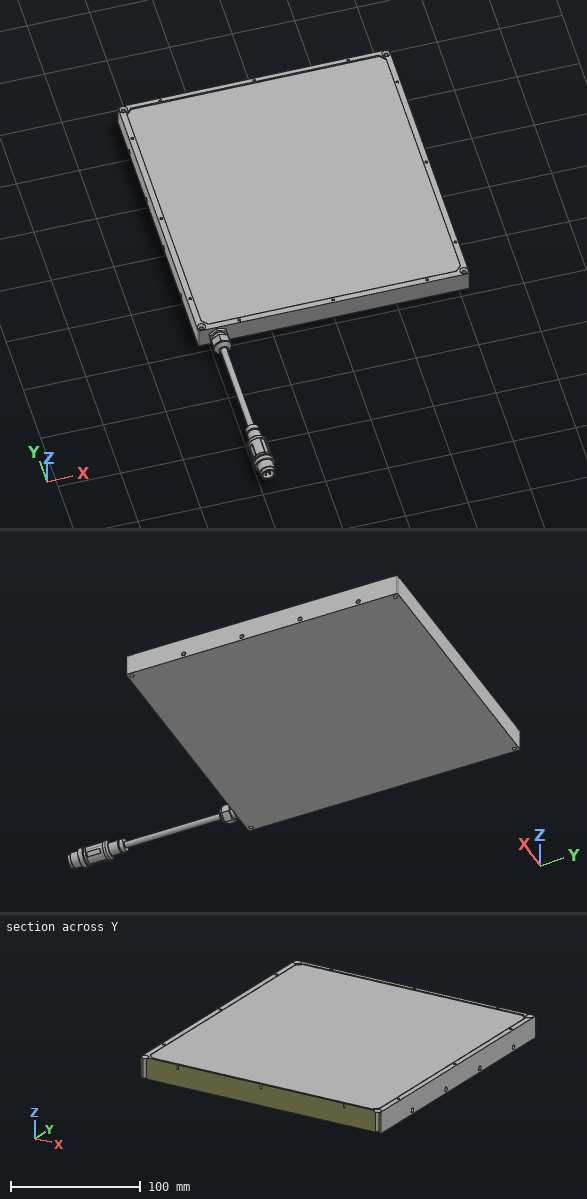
import cadquery as cq

WIDTH = 217.0
DEPTH = 232.5
HEIGHT = 18.0
CORNER_RADIUS = 0.95
TOTAL_LENGTH = 377.5

RIM = 5.0
PANEL_RECESS = 0.23
PANEL_CORNER_CUT = 4.5
LEDGE_WIDTH = 1.0
LEDGE_RECESS = 0.1

CORNER_HOLE_INSET = 3.6
CORNER_SINK_ANGLE = 90.0
CORNER_HOLE_DIAMETER = 3.0
CORNER_SINK_DIAMETER = 6.5

RIM_HOLE_DIAMETER = 2.0
RIM_HOLE_DEPTH = 3.8
RIM_HOLE_INSET = 2.5
RIM_HOLE_SPACING_X = 75.0
RIM_HOLE_SPACING_Y = 83.0

SIDE_HOLE_DIAMETER = 3.5
SIDE_HOLE_DEPTH = 5.5
SIDE_HOLE_HEIGHT = 3.5
SIDE_HOLE_COUNT = 4
SIDE_HOLE_SPACING = 50.0
SIDE_HOLE_REAR_OFFSET = 33.5

CABLE_X = 16.0
CABLE_Z = HEIGHT / 2
CABLE_LENGTH = TOTAL_LENGTH - DEPTH
CABLE_RADIUS = 2.5

COLLAR_END = 2.3
COLLAR_ACROSS_CORNERS = 16.0
NECK_RADIUS = 5.3
NUT_START = 6.0
NUT_END = 12.5
NUT_ACROSS_CORNERS = 15.5
NUT_TURN = 8.0
CAP_RADIUS = 7.0
CAP_CONE_START = 13.5
CAP_END = 16.0
CAP_TIP_RADIUS = 3.8

BOOT_START = 97.8
BOOT_GROOVE_START = 101.5
BOOT_GROOVE_END = 102.5
BOOT_RADIUS = 5.3
BOOT_GROOVE_RADIUS = 4.5
GRIP_START = 110.3
GRIP_TAPER = 1.5
GRIP_END = 130.5
WAIST_START = 114.0
WAIST_END = 128.8
WAIST_RADIUS = 7.5
GRIP_RADIUS = 8.0
GRIP_GROOVE_RADIUS = 7.0
RING_START = 131.5
RING_END = 135.0
SHELL_RADIUS = 6.5
SHELL_TIP_START = 142.5
SHELL_TIP_RADIUS = 5.5

SHORT_SLOT_ANGLE = 150.0
LONG_SLOT_ANGLE = 60.0
SHORT_SLOT_START = 116.5
SHORT_SLOT_END = 128.0
SLOT_WIDTH = 3.8
SLOT_DEPTH = 0.8

SOCKET_RADIUS = 4.5
SOCKET_DEPTH = 5.5
PIN_COUNT = 4
PIN_RADIUS = 0.55
PIN_START_ANGLE = 45.0
PIN_CIRCLE_RADIUS = 2.3
PIN_CLEARANCE = 1.0


def top_panel_cut(rear_margin, depth):
    """Recess in the top face, bounded by the rim, with its corners cut off."""
    length = DEPTH - RIM - rear_margin
    return (
        cq.Workplane("XY")
        .box(WIDTH - 2 * RIM, length, depth, centered=(True, False, False))
        .edges("|Z")
        .chamfer(PANEL_CORNER_CUT)
        .translate((WIDTH / 2, RIM, HEIGHT - depth))
    )


def rim_hole_points():
    """Centres of the rim holes, measured from the middle of the top face."""
    edge_x = WIDTH / 2 - RIM_HOLE_INSET
    edge_y = DEPTH / 2 - RIM_HOLE_INSET
    points = []
    for step in (-1, 0, 1):
        for side in (-1, 1):
            points.append((step * RIM_HOLE_SPACING_X, side * edge_y))
            points.append((side * edge_x, step * RIM_HOLE_SPACING_Y))
    return points


def side_hole(y, x, direction):
    """Blind hole entering a long side at depth position y."""
    return cq.Workplane(
        cq.Solid.makeCylinder(
            SIDE_HOLE_DIAMETER / 2,
            SIDE_HOLE_DEPTH,
            cq.Vector(x, y, SIDE_HOLE_HEIGHT),
            cq.Vector(direction, 0, 0),
        )
    )


def make_housing():
    body = cq.Workplane("XY").box(WIDTH, DEPTH, HEIGHT, centered=False)
    body = body.edges("|Z").fillet(CORNER_RADIUS)
    body = body.cut(top_panel_cut(RIM, PANEL_RECESS))
    body = body.cut(top_panel_cut(RIM - LEDGE_WIDTH, LEDGE_RECESS))

    top = cq.Workplane("XY", origin=(WIDTH / 2, DEPTH / 2, HEIGHT))
    rim_holes = top.pushPoints(rim_hole_points()).circle(RIM_HOLE_DIAMETER / 2).extrude(-RIM_HOLE_DEPTH)
    body = body.cut(rim_holes)

    body = (
        body.copyWorkplane(top)
        .rect(WIDTH - 2 * CORNER_HOLE_INSET, DEPTH - 2 * CORNER_HOLE_INSET, forConstruction=True)
        .vertices()
        .cskHole(CORNER_HOLE_DIAMETER, CORNER_SINK_DIAMETER, CORNER_SINK_ANGLE)
    )

    for index in range(SIDE_HOLE_COUNT):
        y = DEPTH - SIDE_HOLE_REAR_OFFSET - index * SIDE_HOLE_SPACING
        body = body.cut(side_hole(y, 0, 1))
        body = body.cut(side_hole(y, WIDTH, -1))
    return body


def cable_plane(distance):
    """Plane across the cable axis, facing forward, at a distance in front of the housing."""
    return cq.Workplane("XZ", origin=(CABLE_X, -distance, CABLE_Z))


def hexagon(start, end, across_corners, turn):
    """Hexagonal prism on the cable axis, with corners above and below before it is turned."""
    return (
        cable_plane(start)
        .transformed(rotate=(0, 0, 90 + turn))
        .polygon(6, across_corners)
        .extrude(end - start)
    )


def turned_body():
    """Everything round on the cable axis: neck, cap, cable and plug, as one profile."""
    profile = [
        (0, 0),
        (NECK_RADIUS, 0),
        (NECK_RADIUS, NUT_END),
        (CAP_RADIUS, NUT_END),
        (CAP_RADIUS, CAP_CONE_START),
        (CAP_TIP_RADIUS, CAP_END),
        (CABLE_RADIUS, CAP_END),
        (CABLE_RADIUS, BOOT_START),
        (BOOT_RADIUS, BOOT_START),
        (BOOT_RADIUS, BOOT_GROOVE_START),
        (BOOT_GROOVE_RADIUS, BOOT_GROOVE_START),
        (BOOT_GROOVE_RADIUS, BOOT_GROOVE_END),
        (BOOT_RADIUS, BOOT_GROOVE_END),
        (BOOT_RADIUS, GRIP_START),
        (GRIP_RADIUS - GRIP_TAPER, GRIP_START),
        (GRIP_RADIUS, GRIP_START + GRIP_TAPER),
        (GRIP_RADIUS, WAIST_START),
        (WAIST_RADIUS, WAIST_START),
        (WAIST_RADIUS, WAIST_END),
        (GRIP_RADIUS, WAIST_END),
        (GRIP_RADIUS, GRIP_END),
        (GRIP_GROOVE_RADIUS, GRIP_END),
        (GRIP_GROOVE_RADIUS, RING_START),
        (GRIP_RADIUS, RING_START),
        (GRIP_RADIUS, RING_END),
        (SHELL_RADIUS, RING_END),
        (SHELL_RADIUS, SHELL_TIP_START),
        (SHELL_TIP_RADIUS, SHELL_TIP_START),
        (SHELL_TIP_RADIUS, CABLE_LENGTH),
        (0, CABLE_LENGTH),
    ]
    outline = [(radius, -distance) for radius, distance in profile]
    turned = cq.Workplane("XY").polyline(outline).close().revolve(360, (0, 0, 0), (0, 1, 0))
    return turned.translate((CABLE_X, 0, CABLE_Z))


def slot_pair(angle, start, end):
    """Two opposite flat-floored slots along the waist, at an angle from +X toward +Z."""
    return (
        cable_plane(start)
        .transformed(rotate=(0, 0, angle))
        .pushPoints([(WAIST_RADIUS, 0), (-WAIST_RADIUS, 0)])
        .rect(2 * SLOT_DEPTH, SLOT_WIDTH)
        .extrude(end - start)
    )


def make_cable():
    body = turned_body()
    body = body.union(hexagon(0, COLLAR_END, COLLAR_ACROSS_CORNERS, NUT_TURN))
    body = body.union(hexagon(NUT_START, NUT_END, NUT_ACROSS_CORNERS, NUT_TURN))
    body = body.cut(slot_pair(SHORT_SLOT_ANGLE, SHORT_SLOT_START, SHORT_SLOT_END))
    body = body.cut(slot_pair(LONG_SLOT_ANGLE, WAIST_START, WAIST_END))

    socket_floor = CABLE_LENGTH - SOCKET_DEPTH
    body = body.cut(cable_plane(socket_floor).circle(SOCKET_RADIUS).extrude(SOCKET_DEPTH))
    pins = (
        cable_plane(socket_floor)
        .polarArray(PIN_CIRCLE_RADIUS, PIN_START_ANGLE, 360, PIN_COUNT)
        .circle(PIN_RADIUS)
        .extrude(SOCKET_DEPTH - PIN_CLEARANCE)
    )
    return body.union(pins)


housing = make_housing()
cable = make_cable()
result = cq.Compound.makeCompound([housing.val(), cable.val()])